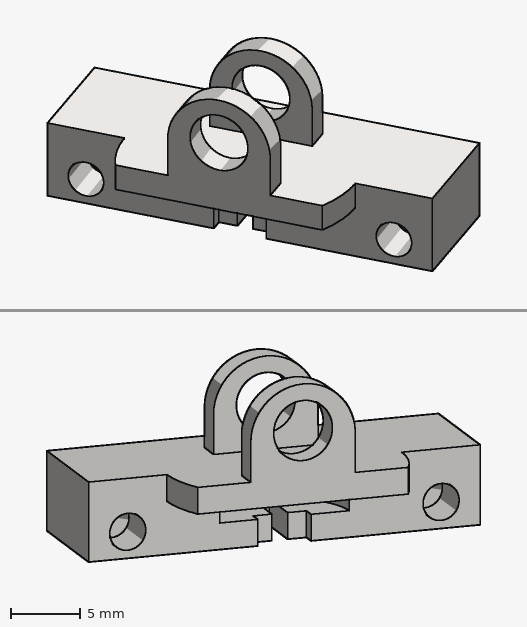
import cadquery as cq
import math

length = 30.0
block_depth = 9.0
height = 6.0
layer = height / 3

flange_radius = 9.0
flange_reach = 2 * layer

lug_width = 4 * layer
lug_top_radius = lug_width / 2
lug_arch_z = 9.0
lug_hole_z = 9.5
lug_hole_diameter = 4.5
rear_lug_setback = 3.0

pocket_radius = 4.95
notch_width = 4.08
notch_depth = layer / 2
slot_width = 1.2

drill_diameter = 2.75
drill_end_distance = 3.0
drill_depth = 3.6
drill_tip_angle = 118.0


def cross_box(width, y_front, y_back, z_bottom, z_top):
    """Box centred in X between the given Y and Z limits."""
    return cq.Workplane("XY").box(
        width, y_back - y_front, z_top - z_bottom, centered=(True, False, False)
    ).translate((0, y_front, z_bottom))


def lug(y_front):
    """Round-topped upright lug with a cross hole, rooted in the top layer."""
    z_root = height - layer
    half_width = lug_width / 2
    body = (
        cq.Workplane("XZ", origin=(0, y_front, 0))
        .moveTo(-half_width, z_root)
        .lineTo(half_width, z_root)
        .lineTo(half_width, lug_arch_z)
        .threePointArc((0, lug_arch_z + lug_top_radius), (-half_width, lug_arch_z))
        .close()
        .extrude(-layer)
    )
    hole = (
        cq.Workplane("XZ", origin=(0, y_front, 0))
        .center(0, lug_hole_z)
        .circle(lug_hole_diameter / 2)
        .extrude(-layer)
    )
    return body.cut(hole)


def drilled_hole(x):
    """Cylinder with a conical tip, running into the front face."""
    radius = drill_diameter / 2
    tip_depth = radius / math.tan(math.radians(drill_tip_angle / 2))
    return (
        cq.Workplane("XY")
        .lineTo(radius, 0)
        .lineTo(radius, drill_depth)
        .lineTo(0, drill_depth + tip_depth)
        .close()
        .revolve(360, (0, 0), (0, 1))
        .translate((x, 0, layer))
    )


block = cross_box(length, 0, block_depth, 0, height)

flange_disc = cq.Workplane("XY", origin=(0, 0, height - layer)).circle(flange_radius).extrude(layer)
flange = flange_disc.intersect(
    cross_box(2 * flange_radius, -flange_reach, 0, height - layer, height)
)
result = block.union(flange)

pocket = cq.Workplane("XY", origin=(0, 0, layer)).circle(pocket_radius).extrude(layer)
pocket = pocket.intersect(cross_box(2 * pocket_radius, 0, pocket_radius, layer, 2 * layer))
slot = cq.Workplane("XY").circle(pocket_radius).extrude(layer)
slot = slot.intersect(cross_box(slot_width, 0, pocket_radius, 0, layer))
notch = cross_box(notch_width, 0, notch_depth, 0, layer)
result = result.cut(pocket).cut(slot).cut(notch)

for side in (-1, 1):
    result = result.cut(drilled_hole(side * (length / 2 - drill_end_distance)))

rear_lug_front = block_depth - rear_lug_setback - layer
for lug_front in (-flange_reach, rear_lug_front):
    result = result.union(lug(lug_front))